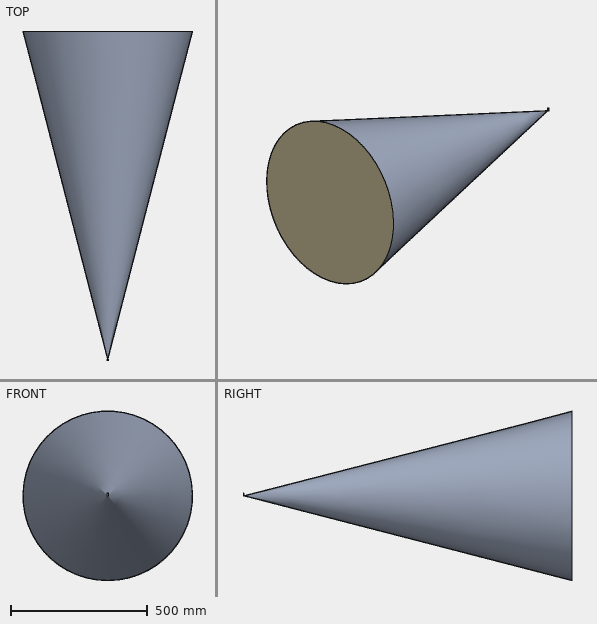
import cadquery as cq

overall_length = 1203.0
base_diameter = 621.0
tip_diameter = 0.2

plate_width = 6.0
plate_thickness = 1.0
plate_bottom = -1.0
plate_top = 10.0

block_inset = 0.6
block_depth = 1.0

plate_back = -overall_length
plate_front = plate_back + plate_thickness
block_front = plate_front + block_depth


def make_cone():
    """Long cone from the base circle to the tiny flat tip that rests on the block."""
    cone_solid = cq.Solid.makeCone(
        base_diameter / 2,
        tip_diameter / 2,
        -block_front,
        pnt=cq.Vector(0, 0, 0),
        dir=cq.Vector(0, -1, 0),
    )
    return cq.Workplane(obj=cone_solid)


def make_upright_box(width, back, front, bottom, top):
    """Box centred on X = 0 that spans the given Y and Z limits."""
    return (
        cq.Workplane("XY")
        .box(width, front - back, top - bottom, centered=(True, False, False))
        .translate((0, back, bottom))
    )


cone = make_cone()
plate = make_upright_box(plate_width, plate_back, plate_front, plate_bottom, plate_top)
block = make_upright_box(
    plate_width - 2 * block_inset,
    plate_front,
    block_front,
    plate_bottom + block_inset,
    plate_top - block_inset,
)

result = cq.Compound.makeCompound([cone.val(), plate.val(), block.val()])